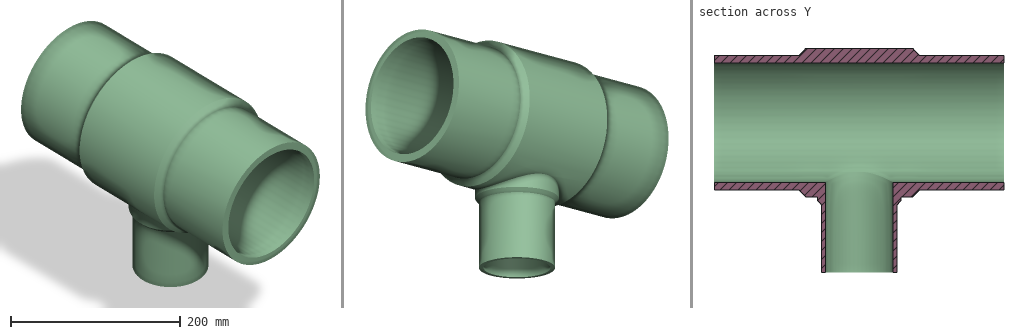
import cadquery as cq

run_length = 343.0
run_diameter = 160.0
run_bore = 141.0

sleeve_diameter = 176.0
sleeve_length = 142.0
sleeve_taper_length = 7.5

overall_height = 265.0
branch_diameter = 90.0
branch_bore = 79.2
branch_reach = overall_height - sleeve_diameter / 2

collar_diameter = 99.0
collar_reach = 97.0
collar_taper_length = 5.0


def run_cylinder(diameter):
    """Full-length cylinder along X."""
    return cq.Workplane("YZ").circle(diameter / 2).extrude(run_length / 2, both=True)


def branch_cylinder(diameter, reach):
    """Cylinder from the main axis down to the given distance below it."""
    return cq.Workplane("XY").circle(diameter / 2).extrude(-reach)


def sleeve():
    """Solid sleeve whose ends taper down to the main pipe."""
    half_length = sleeve_length / 2
    shoulder = half_length - sleeve_taper_length
    profile = [
        (-half_length, 0),
        (-half_length, run_diameter / 2),
        (-shoulder, sleeve_diameter / 2),
        (shoulder, sleeve_diameter / 2),
        (half_length, run_diameter / 2),
        (half_length, 0),
    ]
    return cq.Workplane("XY").polyline(profile).close().revolve(360, (0, 0, 0), (1, 0, 0))


def collar():
    """Solid collar whose lower end tapers down to the branch pipe."""
    profile = [
        (0, 0),
        (collar_diameter / 2, 0),
        (collar_diameter / 2, -collar_reach + collar_taper_length),
        (branch_diameter / 2, -collar_reach),
        (0, -collar_reach),
    ]
    return cq.Workplane("XZ").polyline(profile).close().revolve(360, (0, 0, 0), (0, 1, 0))


outer_body = (
    run_cylinder(run_diameter)
    .union(sleeve())
    .union(collar())
    .union(branch_cylinder(branch_diameter, branch_reach))
)

result = outer_body.cut(run_cylinder(run_bore)).cut(branch_cylinder(branch_bore, branch_reach))